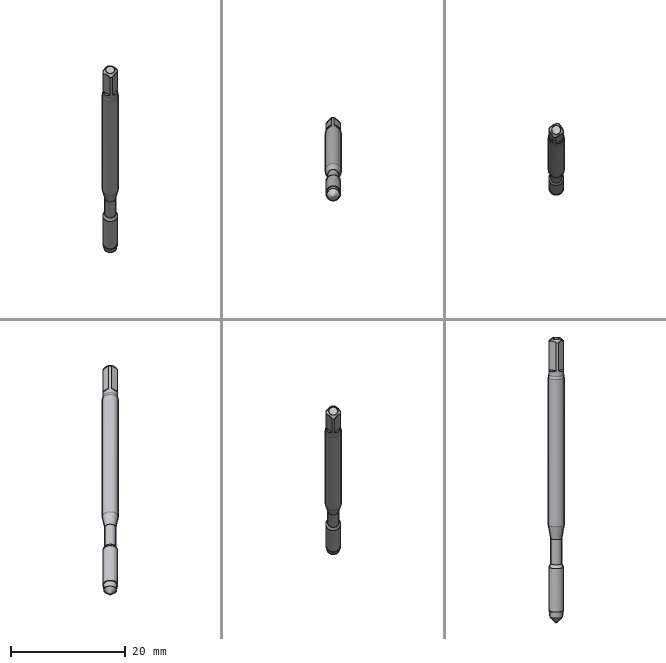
import cadquery as cq

total_height = 51.1
tip_height = 1.1
nose_top = 2.25
head_top = 10.05
neck_bottom = 10.7
barrel_bottom = 15.2
taper_top = 17.65
sleeve_top = 44.05
collar_bottom = 44.6
flat_bottom = 45.6

neck_diameter = 1.95
head_diameter = 2.6
nose_diameter = 2.4
point_diameter = 2.25
sleeve_diameter = 2.8
shank_diameter = head_diameter
end_face_diameter = 1.6

end_chamfer_height = (shank_diameter - end_face_diameter) / 2
across_flats = 2.15


def revolve_profile(stations):
    """Revolve a list of (diameter, height) stations around the Z axis."""
    outline = [(diameter / 2, height) for diameter, height in stations]
    axis_points = [(0, stations[-1][1]), (0, stations[0][1])]
    closed_outline = cq.Workplane("XZ").polyline(outline + axis_points).close()
    return closed_outline.revolve(360, (0, 0), (0, 1))


def make_flat_cutter():
    """Cutter for one shank flat, with a 45 degree run-out at its lower end."""
    inner = across_flats / 2
    outer = shank_diameter
    runout = outer - inner
    return (
        cq.Workplane("XZ")
        .moveTo(inner, flat_bottom)
        .lineTo(outer, flat_bottom - runout)
        .lineTo(outer, total_height)
        .lineTo(inner, total_height)
        .close()
        .extrude(shank_diameter / 2, both=True)
    )


def make_barrel():
    """Sleeve with a tapered lower end and a square-milled shank on top."""
    barrel = revolve_profile([
        (neck_diameter, barrel_bottom),
        (sleeve_diameter, taper_top),
        (sleeve_diameter, sleeve_top),
        (shank_diameter, collar_bottom),
        (shank_diameter, total_height - end_chamfer_height),
        (end_face_diameter, total_height),
    ])
    flat_count = 4
    for index in range(flat_count):
        angle = index * 360 / flat_count
        barrel = barrel.cut(make_flat_cutter().rotate((0, 0, 0), (0, 0, 1), angle))
    return barrel


def make_plunger():
    """Necked plunger with a tapered nose and a conical point."""
    outline = cq.Workplane("XZ").polyline([
        (0, 0),
        (point_diameter / 2, tip_height),
        (nose_diameter / 2, nose_top),
        (head_diameter / 2, nose_top),
        (head_diameter / 2, head_top),
        (neck_diameter / 2, neck_bottom),
        (neck_diameter / 2, barrel_bottom),
        (0, barrel_bottom),
    ]).close()
    return outline.revolve(360, (0, 0), (0, 1))


barrel = make_barrel()
plunger = make_plunger()

result = cq.Compound.makeCompound([barrel.val(), plunger.val()])